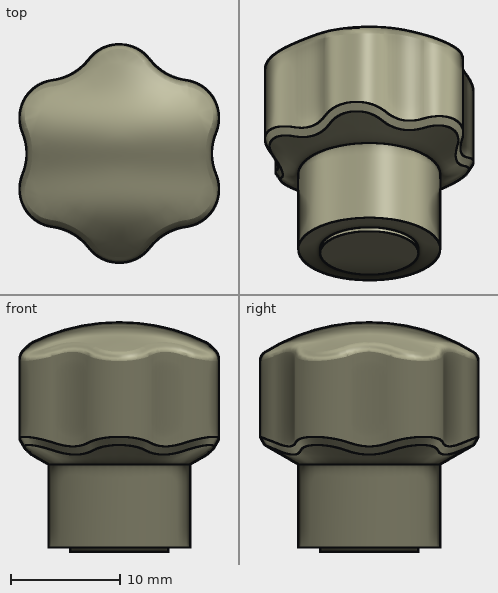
import cadquery as cq
import math

total_height = 21.0

insert_diameter = 9.0
insert_protrusion = 0.4
stem_diameter = 13.0
stem_top = 8.0

lobe_count = 6
tip_radius = 10.0
lobe_radius = 3.5
valley_radius = 5.0

dome_radius = 18.0
underside_angle = 30.0
top_fillet = 1.0
underside_chamfer = 0.5

lobe_step = 360.0 / lobe_count
first_lobe_angle = 90.0
blank_margin = 1.0
lobe_center_radius = tip_radius - lobe_radius
blank_radius = tip_radius + blank_margin


def polar(radius, angle):
    """Point in the XY plane at a radius and an angle in degrees."""
    return (
        radius * math.cos(math.radians(angle)),
        radius * math.sin(math.radians(angle)),
    )


def lobe_outline():
    """Closed outline of alternating, tangent lobe and valley arcs."""
    half_step = math.radians(lobe_step / 2)
    lobe_along_valley = lobe_center_radius * math.cos(half_step)
    lobe_across_valley = lobe_center_radius * math.sin(half_step)
    center_distance = lobe_radius + valley_radius
    valley_run = math.sqrt(center_distance**2 - lobe_across_valley**2)
    valley_bottom_radius = lobe_along_valley + valley_run - valley_radius

    lobe_share = lobe_radius / center_distance
    joint_along = lobe_along_valley + valley_run * lobe_share
    joint_across = lobe_across_valley * (1 - lobe_share)
    joint_radius = math.hypot(joint_along, joint_across)
    valley_half_angle = math.degrees(math.atan2(joint_across, joint_along))
    lobe_half_angle = lobe_step / 2 - valley_half_angle

    outline = cq.Workplane("XY").moveTo(*polar(joint_radius, first_lobe_angle - lobe_half_angle))
    for index in range(lobe_count):
        lobe_angle = first_lobe_angle + index * lobe_step
        valley_angle = lobe_angle + lobe_step / 2
        lobe_end = polar(joint_radius, lobe_angle + lobe_half_angle)
        valley_end = polar(joint_radius, valley_angle + valley_half_angle)
        outline = outline.threePointArc(polar(tip_radius, lobe_angle), lobe_end)
        outline = outline.threePointArc(polar(valley_bottom_radius, valley_angle), valley_end)
    return outline.close()


def grip_blank():
    """Turned body with a spherical dome on top and a conical underside."""
    stem_radius = stem_diameter / 2
    cone_top = stem_top + (blank_radius - stem_radius) * math.tan(math.radians(underside_angle))
    dome_center = total_height - dome_radius
    rim_height = dome_center + math.sqrt(dome_radius**2 - blank_radius**2)
    arc_mid_radius = blank_radius / 2
    arc_mid_height = dome_center + math.sqrt(dome_radius**2 - arc_mid_radius**2)
    return (
        cq.Workplane("XZ")
        .moveTo(0, stem_top)
        .lineTo(stem_radius, stem_top)
        .lineTo(blank_radius, cone_top)
        .lineTo(blank_radius, rim_height)
        .threePointArc((arc_mid_radius, arc_mid_height), (0, total_height))
        .close()
        .revolve(360, (0, 0, 0), (0, 1, 0))
    )


def grip():
    """Lobed grip with a rounded top edge and a chamfered bottom edge."""
    lobed = lobe_outline().extrude(total_height).intersect(grip_blank())
    rounded = lobed.faces("%SPHERE").edges().fillet(top_fillet)
    underside_edges = rounded.faces("%CONE").edges("not %CIRCLE").edges("not %LINE")
    return underside_edges.chamfer(underside_chamfer)


def stem():
    """Round stem with the end of the insert standing out below it."""
    insert = cq.Workplane("XY").circle(insert_diameter / 2).extrude(stem_top)
    sleeve = (
        cq.Workplane("XY", origin=(0, 0, insert_protrusion))
        .circle(stem_diameter / 2)
        .extrude(stem_top - insert_protrusion)
    )
    return insert.union(sleeve)


result = grip().union(stem())